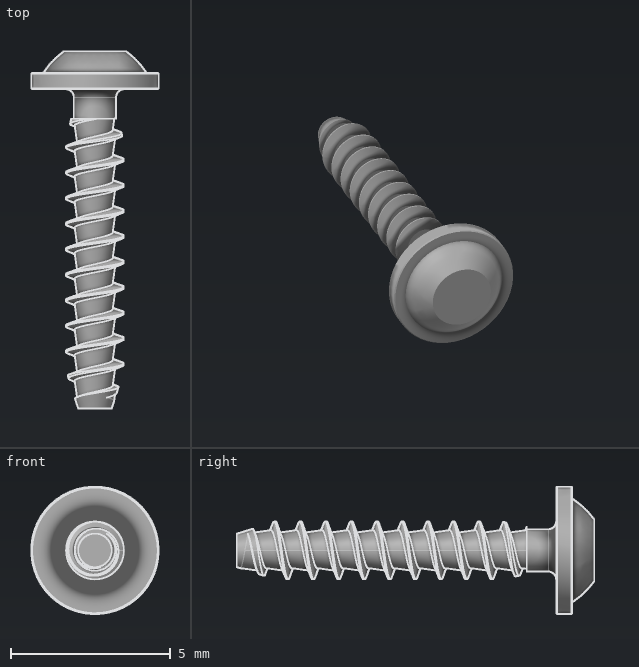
import cadquery as cq

total_length = 11.2
head_diameter = 4.0
head_radius = head_diameter / 2
flange_thickness = 0.52
flange_edge_chamfer = 0.03
dome_height = 0.68
dome_base_radius = 1.62
dome_top_radius = 0.97
dome_mid_radius = 1.35
head_height = flange_thickness + dome_height
shank_length = total_length - head_height

neck_radius = head_diameter / 6
neck_length = 0.92
neck_fillet = 0.25

pitch = head_diameter / 5
crest_radius = 0.91
crest_half_width = 0.02
core_radius_wide = 0.64
core_radius_narrow = 0.56
root_half_width_wide = 0.12
root_half_width_narrow = 0.13
crest_depth = 1.41

start_radius = 0.75
start_fade_length = 0.78
tip_radius = 0.53
tip_fade_length = 1.19

turns_below = 13
turns_total = 14


def make_head():
    """Round flange with a domed, flat-topped crown."""
    flange = cq.Workplane("XY").circle(head_radius).extrude(flange_thickness)
    flange = flange.edges().chamfer(flange_edge_chamfer)
    dome = (
        cq.Workplane("XZ")
        .moveTo(0, flange_thickness)
        .lineTo(dome_base_radius, flange_thickness)
        .threePointArc(
            (dome_mid_radius, flange_thickness + dome_height / 2),
            (dome_top_radius, head_height),
        )
        .lineTo(0, head_height)
        .close()
        .revolve(360, (0, 0), (0, 1))
    )
    return flange.union(dome)


def make_neck():
    """Cylindrical neck flaring into the head through a concave fillet."""
    return (
        cq.Workplane("XZ")
        .lineTo(neck_radius + neck_fillet, 0)
        .radiusArc((neck_radius, -neck_fillet), -neck_fillet)
        .lineTo(neck_radius, -neck_length)
        .lineTo(0, -neck_length)
        .close()
        .revolve(360, (0, 0), (0, 1))
    )


def make_thread_blank():
    """Envelope of the thread crests, tapered at both ends."""
    return (
        cq.Workplane("XZ")
        .moveTo(0, -neck_length)
        .lineTo(start_radius, -neck_length)
        .lineTo(crest_radius, -neck_length - start_fade_length)
        .lineTo(crest_radius, -shank_length + tip_fade_length)
        .lineTo(tip_radius, -shank_length)
        .lineTo(0, -shank_length)
        .close()
        .revolve(360, (0, 0), (0, 1))
    )


def helix_edge(radius, start_height):
    """One right-handed turn, starting on the +X side."""
    turn = cq.Wire.makeHelix(pitch, pitch, radius, cq.Vector(0, 0, start_height))
    return turn.Edges()[0]


def make_threaded_rod():
    """Full-depth thread, longer than the blank, closed by a helical cap at each end."""
    profile = [
        (crest_radius, -crest_half_width),
        (crest_radius, crest_half_width),
        (core_radius_narrow, root_half_width_narrow),
        (core_radius_wide, pitch - root_half_width_wide),
        (crest_radius, pitch - crest_half_width),
    ]
    bottom = -crest_depth - turns_below * pitch
    faces = []

    for turn in range(turns_total):
        edges = [helix_edge(radius, bottom + turn * pitch + height) for radius, height in profile]
        for lower, upper in zip(edges, edges[1:]):
            faces.append(cq.Face.makeRuledSurface(lower, upper))

    for end in (bottom, bottom + turns_total * pitch):
        cap_start = cq.Vector(0, 0, end - crest_half_width)
        cap_end = cap_start + cq.Vector(0, 0, pitch)
        axis = cq.Edge.makeLine(cap_start, cap_end)
        faces.append(cq.Face.makeRuledSurface(axis, helix_edge(crest_radius, cap_start.z)))
        step = [cq.Vector(radius, 0, end + height) for radius, height in profile]
        outline = cq.Wire.makePolygon([cap_start, *step, cap_end], close=True)
        faces.append(cq.Face.makeFromWires(outline))

    solid = cq.Solid.makeSolid(cq.Shell.makeShell(faces)).fix()
    return cq.Workplane(solid)


thread = make_thread_blank().intersect(make_threaded_rod())
screw = thread.union(make_neck()).union(make_head())

result = screw.rotate((0, 0, 0), (1, 0, 0), -90)